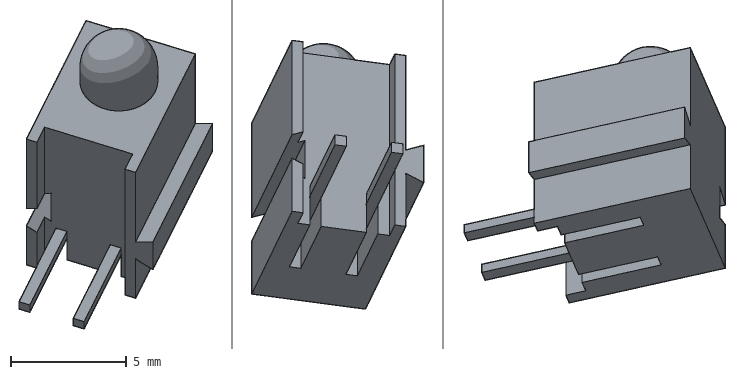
import cadquery as cq

body_width = 5.1
body_depth = 7.1
body_height = 8.7

flange_thickness = 0.5
recess_depth = 0.9

dovetail_depth = 0.8
dovetail_root_height = 1.2
dovetail_tip_height = 1.91
dovetail_center_z = 3.3

lens_radius = 1.7
lens_cylinder_height = 0.9
lens_setback = 2.6

lead_size = 0.51
lead_spacing = 2.53
lead_top_z = 1.97
lead_projection = 3.5

lens_y = -lens_setback
lead_tip_y = -(body_depth + lead_projection)
lead_bottom_z = lead_top_z - lead_size


def box(x_min, x_max, y_min, y_max, z_min, z_max):
    """Axis-aligned box given by its limits."""
    size = (x_max - x_min, y_max - y_min, z_max - z_min)
    return cq.Workplane("XY").box(*size, centered=False).translate((x_min, y_min, z_min))


def dovetail(root_x):
    """Dovetail prism running the full depth and widening towards +X."""
    half_root = dovetail_root_height / 2
    half_tip = dovetail_tip_height / 2
    tip_x = root_x + dovetail_depth
    return (
        cq.Workplane("XZ")
        .moveTo(root_x, dovetail_center_z - half_root)
        .lineTo(tip_x, dovetail_center_z - half_tip)
        .lineTo(tip_x, dovetail_center_z + half_tip)
        .lineTo(root_x, dovetail_center_z + half_root)
        .close()
        .extrude(body_depth)
    )


def housing():
    """Block with the front recess, the dovetail groove and the dovetail rib."""
    half_width = body_width / 2
    half_recess = half_width - flange_thickness
    block = box(-half_width, half_width, -body_depth, 0, 0, body_height)
    recess = box(-half_recess, half_recess, -body_depth, recess_depth - body_depth, 0, body_height)
    groove = dovetail(-half_width)
    rib = dovetail(half_width)
    return block.cut(recess).cut(groove).union(rib)


def lens():
    """Lens revolved about its vertical axis on top of the housing."""
    return (
        cq.Workplane("XZ")
        .lineTo(lens_radius, 0)
        .lineTo(lens_radius, lens_cylinder_height)
        .radiusArc((0, lens_cylinder_height + lens_radius), -lens_radius)
        .close()
        .revolve(360, (0, 0, 0), (0, 1, 0))
        .translate((0, lens_y, body_height))
    )


result = housing().union(lens())

for lead_x in (-lead_spacing / 2, lead_spacing / 2):
    x_min = lead_x - lead_size / 2
    x_max = lead_x + lead_size / 2
    slot = box(x_min, x_max, -body_depth, lens_y, 0, lead_bottom_z)
    lead = box(x_min, x_max, lead_tip_y, lens_y, lead_bottom_z, lead_top_z)
    result = result.cut(slot).union(lead)